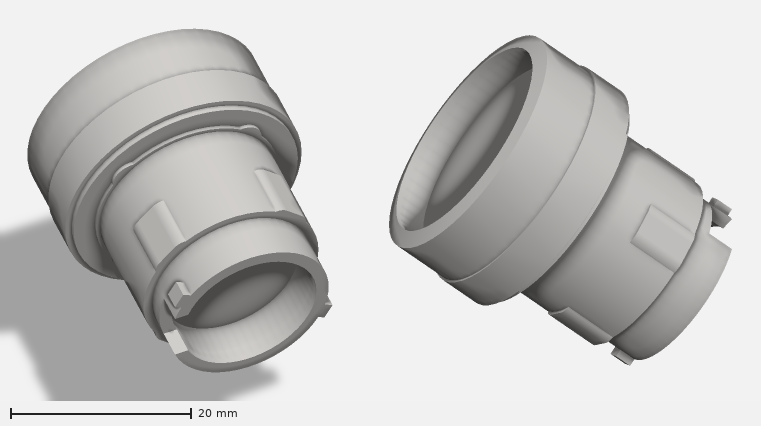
import cadquery as cq
import math

RIM_CONE_END = 0.53
BEZEL_END = 7.2
COLLAR_END = 12.0
FLANGE_END = 12.67
RING_END = 13.1
BODY_END = 25.55
LENGTH = 30.9

COLLAR_RADIUS = 14.25
BEZEL_RADIUS = 13.97
RECESS_RADIUS = 12.02
FLANGE_RADIUS = 13.5
RING_RADIUS = 11.0
BODY_RADIUS = 10.55
SLEEVE_RADIUS = 9.52
BORE_RADIUS = 8.03

RECESS_DEPTH = 3.83

DIAGONALS = (45, 135, 225, 315)
RIB_LENGTH = 6.33
RIB_FLAT_DISTANCE = 10.85
RIB_FLAT_HALF_WIDTH = 1.3
RIB_HALF_WIDTH = 2.55
RIB_CORNER_RADIUS = 1.65
BUMP_HALF_WIDTH = 1.75
BUMP_RISE = 0.83
ROOT_DISTANCE = 8.65

NOTCH_WIDTH = 6.25
NOTCH_DEPTH = 3.25
TAB_LENGTH = 2.0
TAB_WIDTH = 1.98
TAB_DISTANCE = 10.38
TAB_ROOT_DISTANCE = 8.65
TABS = ((150, -1), (-30, 1))


def yz_plane(x):
    """Sketch plane normal to X, with local axes Y and Z."""
    return cq.Workplane("YZ", origin=(x, 0, 0))


def turn(solid, angle):
    """Rotate a solid about the X axis."""
    return solid.rotate((0, 0, 0), (1, 0, 0), angle)


def turned_body():
    """Stepped button body with a dished front and an open rear sleeve."""
    profile = [
        (RECESS_DEPTH, 0),
        (RECESS_DEPTH, RECESS_RADIUS),
        (0, RECESS_RADIUS),
        (RIM_CONE_END, BEZEL_RADIUS),
        (BEZEL_END, BEZEL_RADIUS),
        (BEZEL_END, COLLAR_RADIUS),
        (COLLAR_END, COLLAR_RADIUS),
        (COLLAR_END, FLANGE_RADIUS),
        (FLANGE_END, FLANGE_RADIUS),
        (FLANGE_END, RING_RADIUS),
        (RING_END, RING_RADIUS),
        (RING_END, BODY_RADIUS),
        (BODY_END, BODY_RADIUS),
        (BODY_END, SLEEVE_RADIUS),
        (LENGTH, SLEEVE_RADIUS),
        (LENGTH, BORE_RADIUS),
        (BODY_END, BORE_RADIUS),
        (BODY_END, 0),
    ]
    return cq.Workplane("XY").polyline(profile).close().revolve(360, (0, 0, 0), (1, 0, 0))


def rib():
    """Flat-topped rib with rounded flanks, lying on the +Y side."""
    edge_distance = math.sqrt(BODY_RADIUS**2 - RIB_HALF_WIDTH**2)
    return (
        yz_plane(BODY_END - RIB_LENGTH)
        .moveTo(ROOT_DISTANCE, -RIB_HALF_WIDTH)
        .lineTo(edge_distance, -RIB_HALF_WIDTH)
        .radiusArc((RIB_FLAT_DISTANCE, -RIB_FLAT_HALF_WIDTH), -RIB_CORNER_RADIUS)
        .lineTo(RIB_FLAT_DISTANCE, RIB_FLAT_HALF_WIDTH)
        .radiusArc((edge_distance, RIB_HALF_WIDTH), -RIB_CORNER_RADIUS)
        .lineTo(ROOT_DISTANCE, RIB_HALF_WIDTH)
        .close()
        .extrude(RIB_LENGTH)
    )


def ring_bump():
    """Rounded bump on the thin ring behind the flange, lying on the +Y side."""
    edge_distance = math.sqrt(RING_RADIUS**2 - BUMP_HALF_WIDTH**2)
    return (
        yz_plane(FLANGE_END)
        .moveTo(ROOT_DISTANCE, -BUMP_HALF_WIDTH)
        .lineTo(edge_distance, -BUMP_HALF_WIDTH)
        .threePointArc((edge_distance + BUMP_RISE, 0), (edge_distance, BUMP_HALF_WIDTH))
        .lineTo(ROOT_DISTANCE, BUMP_HALF_WIDTH)
        .close()
        .extrude(RING_END - FLANGE_END)
    )


def tab(angle, side):
    """Rectangular locking tab with one flank on a radial plane of the sleeve."""
    block = (
        yz_plane(LENGTH - TAB_LENGTH)
        .moveTo((TAB_ROOT_DISTANCE + TAB_DISTANCE) / 2, side * TAB_WIDTH / 2)
        .rect(TAB_DISTANCE - TAB_ROOT_DISTANCE, TAB_WIDTH)
        .extrude(TAB_LENGTH)
    )
    return turn(block, angle)


def sleeve_notch():
    """Rectangular cutter through the -Y wall of the sleeve at its rear end."""
    return (
        yz_plane(LENGTH - NOTCH_DEPTH)
        .moveTo(-SLEEVE_RADIUS, 0)
        .rect(SLEEVE_RADIUS, NOTCH_WIDTH)
        .extrude(NOTCH_DEPTH)
    )


result = turned_body().cut(sleeve_notch())
for diagonal in DIAGONALS:
    result = result.union(turn(rib(), diagonal))
    result = result.union(turn(ring_bump(), diagonal))
for tab_angle, tab_side in TABS:
    result = result.union(tab(tab_angle, tab_side))